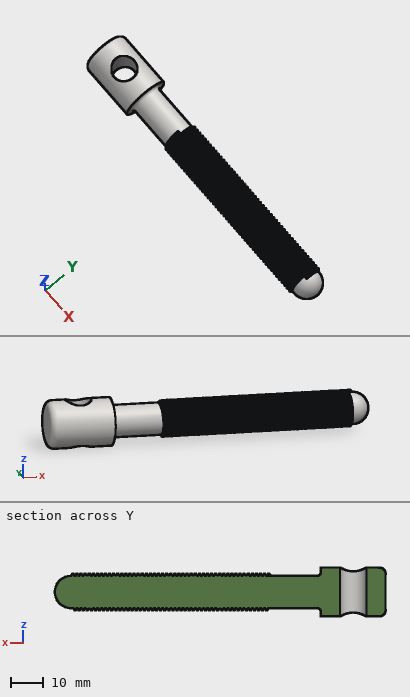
import cadquery as cq
import math

total_length = 101.4

head_diameter = 15.0
head_length = 20.0
head_rim_radius = 2.0

cross_hole_diameter = 8.0
cross_hole_position = head_length / 2

shank_diameter = 10.0
neck_fillet_radius = 1.0
tip_radius = shank_diameter / 2
shank_end = total_length - tip_radius

thread_length = 59.9
thread_turns = 48
thread_pitch = thread_length / thread_turns
thread_major_diameter = 11.3
root_gap = 0.08
ridge_base_width = thread_pitch - root_gap
ridge_crest_width = 0.3
ridge_embed_depth = 0.04
thread_start = shank_end - ridge_base_width / 2 - thread_length


def make_body():
    """Revolve the head, shank and hemispherical tip about the X axis."""
    head_radius = head_diameter / 2
    shank_radius = shank_diameter / 2
    diagonal = math.sqrt(0.5)
    rim_mid = (head_rim_radius * (1 - diagonal), head_radius - head_rim_radius * (1 - diagonal))
    neck_mid_offset = neck_fillet_radius * (1 - diagonal)
    neck_mid = (head_length + neck_mid_offset, shank_radius + neck_mid_offset)
    tip_mid = (shank_end + tip_radius * diagonal, tip_radius * diagonal)
    return (
        cq.Workplane("XY")
        .lineTo(0, head_radius - head_rim_radius)
        .threePointArc(rim_mid, (head_rim_radius, head_radius))
        .lineTo(head_length, head_radius)
        .lineTo(head_length, shank_radius + neck_fillet_radius)
        .threePointArc(neck_mid, (head_length + neck_fillet_radius, shank_radius))
        .lineTo(shank_end, shank_radius)
        .threePointArc(tip_mid, (total_length, 0))
        .close()
        .revolve(360, (0, 0, 0), (1, 0, 0))
    )


def make_cross_hole():
    """Vertical cylinder that passes right through the head."""
    return (
        cq.Workplane("XY", origin=(cross_hole_position, 0, -head_diameter / 2))
        .circle(cross_hole_diameter / 2)
        .extrude(head_diameter)
    )


def make_thread_ridge():
    """Right-handed ridge that starts on the +Z side and winds towards +X."""
    root_radius = shank_diameter / 2
    crest_radius = thread_major_diameter / 2
    flank_slope = (ridge_base_width - ridge_crest_width) / 2 / (crest_radius - root_radius)
    inner_radius = root_radius - ridge_embed_depth
    inner_half_width = ridge_base_width / 2 + flank_slope * ridge_embed_depth
    crest_half_width = ridge_crest_width / 2
    path = cq.Wire.makeHelix(thread_pitch, thread_length, root_radius)
    ridge = (
        cq.Workplane("XZ")
        .moveTo(inner_radius, -inner_half_width)
        .lineTo(crest_radius, -crest_half_width)
        .lineTo(crest_radius, crest_half_width)
        .lineTo(inner_radius, inner_half_width)
        .close()
        .sweep(cq.Workplane(path), isFrenet=True)
    )
    return (
        ridge.rotate((0, 0, 0), (0, 1, 0), 90)
        .rotate((0, 0, 0), (1, 0, 0), 180)
        .translate((thread_start, 0, 0))
    )


result = make_body().cut(make_cross_hole()).union(make_thread_ridge()).solids()